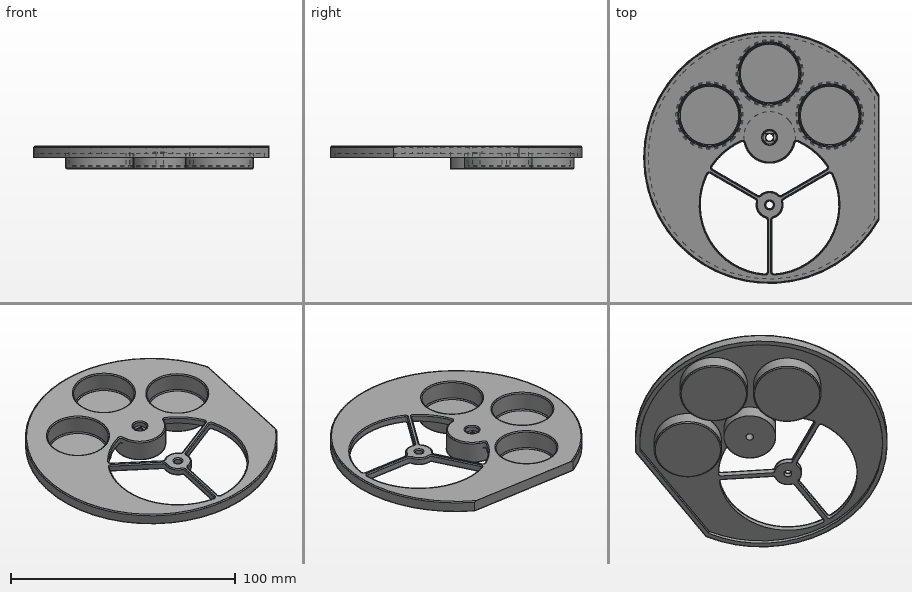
import cadquery as cq
import math

plate_diameter = 112
plate_thickness = 5.0
flat_offset = 48.6
rim_width = 2.0
recess_depth = 1.8
edge_break = 0.5

boss_height = 5.0
pivot_y = 9
pivot_diameter = 23.0
screw_diameter = 3.4
head_diameter = 6.0
head_depth = 2.5
bridge_step = 0.2
cup_pitch_radius = 28.5
cup_angles = (20, 90, 160)
cup_outer_diameter = 30.0
cup_inner_diameter = 27.0
cup_floor = 1.0

hub_y = -21.0
hub_diameter = 12.0
window_diameter = 61.6
spoke_width = 2.0
spoke_angles = (30, 150, 270)
window_corner_radius = 1.0

cup_centres = [
    (
        cup_pitch_radius * math.cos(math.radians(angle)),
        pivot_y + cup_pitch_radius * math.sin(math.radians(angle)),
    )
    for angle in cup_angles
]


def cylinder(x, y, diameter, bottom, top):
    """Upright cylinder between two heights."""
    return cq.Workplane("XY", origin=(x, y, bottom)).circle(diameter / 2).extrude(top - bottom)


def beyond_flat(flat_x):
    """Block that covers the plate's +X side from a flat outwards."""
    return cq.Workplane("XY", origin=(flat_x, 0, 0)).box(
        plate_diameter, plate_diameter, plate_thickness, centered=(False, True, False)
    )


def underside_recess():
    """Shallow space under the plate that follows the outline inside the rim."""
    recess = cylinder(0, 0, plate_diameter - 2 * rim_width, 0, recess_depth)
    return recess.cut(beyond_flat(flat_offset - rim_width))


def cup_body(x, y):
    """Round cup wall from the plate's top down, chamfered around its bottom edge."""
    wall = cylinder(x, y, cup_outer_diameter, -boss_height, plate_thickness)
    return wall.faces("<Z").chamfer(edge_break)


def cup_pocket(x, y):
    """Space inside a cup, narrowed by a chamfer at the floor."""
    pocket = cylinder(x, y, cup_inner_diameter, cup_floor - boss_height, plate_thickness)
    return pocket.faces("<Z").chamfer(edge_break)


def spoke(angle):
    """Bar from the hub centre past the rim of the window."""
    length = window_diameter
    bar = cq.Workplane("XY").box(length, spoke_width, plate_thickness, centered=(False, True, False))
    return bar.rotate((0, 0, 0), (0, 0, 1), angle).translate((0, hub_y, 0))


def window_openings():
    """The three rounded openings left between the rim, hub, spokes and pivot boss."""
    openings = cylinder(0, hub_y, window_diameter, 0, plate_thickness)
    openings = openings.cut(cylinder(0, hub_y, hub_diameter, 0, plate_thickness))
    openings = openings.cut(cylinder(0, pivot_y, pivot_diameter, 0, plate_thickness))
    for angle in spoke_angles:
        openings = openings.cut(spoke(angle))
    return openings.edges("|Z").fillet(window_corner_radius)


def pivot_hole():
    """Screw hole that narrows from the round head recess to a slot, a square and a round hole."""
    head_bottom = plate_thickness - head_depth
    slot_bottom = head_bottom - bridge_step
    square_bottom = slot_bottom - bridge_step
    head = cylinder(0, pivot_y, head_diameter, head_bottom, plate_thickness)
    slot_sides = cq.Workplane("XY", origin=(0, pivot_y, slot_bottom)).rect(head_diameter, screw_diameter)
    slot = slot_sides.extrude(bridge_step).intersect(
        cylinder(0, pivot_y, head_diameter, slot_bottom, head_bottom)
    )
    square_sides = cq.Workplane("XY", origin=(0, pivot_y, square_bottom)).rect(screw_diameter, screw_diameter)
    square = square_sides.extrude(bridge_step)
    shank = cylinder(0, pivot_y, screw_diameter, -boss_height, square_bottom)
    return head.union(slot).union(square).union(shank)


body = cylinder(0, 0, plate_diameter, 0, plate_thickness)
body = body.cut(underside_recess())
body = body.cut(window_openings())
body = body.cut(cylinder(0, hub_y, screw_diameter, 0, plate_thickness))

body = body.union(cylinder(0, pivot_y, pivot_diameter, -boss_height, plate_thickness))
for x, y in cup_centres:
    body = body.union(cup_body(x, y)).cut(cup_pocket(x, y))
body = body.cut(pivot_hole())

body = body.faces(">Z").chamfer(edge_break)
result = body.cut(beyond_flat(flat_offset))